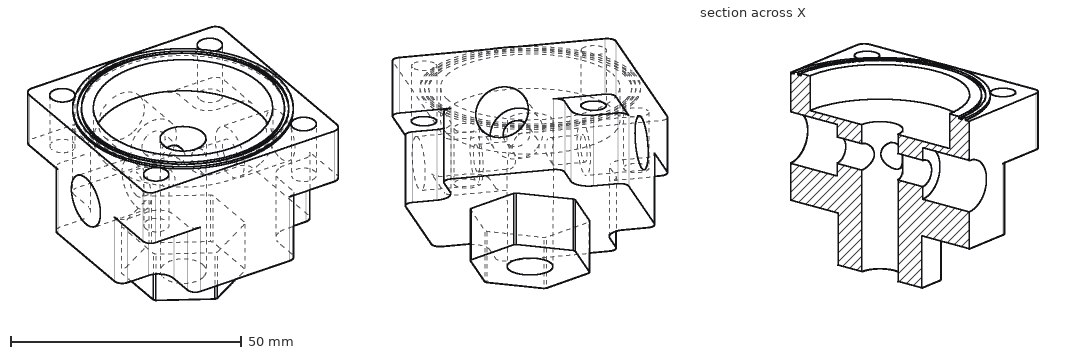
import cadquery as cq
import math

body_width = 50
plate_top = 41.5
body_bottom = 12
corner_radius = 2

relief_top = 28.5
relief_wall = 13.5
relief_inner_radius = 4

hex_across_flats = 23.5
hex_turned_diameter = 26.8

rim_height = 0.5
rim_diameter = 48
groove_outer_diameter = 46
groove_inner_diameter = 44.2
groove_depth = 0.5
cavity_diameter = 39
cavity_depth = 8
bore_diameter = 10

mount_hole_diameter = 5.5
mount_hole_pitch = 38

port_height = 26.5
port_diameter = 11.8
port_depth = 13
passage_diameter = 6

half_width = body_width / 2
rim_top = plate_top + rim_height


def cylinder(diameter, bottom, top):
    """Vertical cylinder on the central axis."""
    return cq.Workplane("XY", origin=(0, 0, bottom)).circle(diameter / 2).extrude(top - bottom)


def square_block(bottom, top):
    """Full-width block with rounded vertical edges."""
    return (
        cq.Workplane("XY", origin=(0, 0, bottom))
        .rect(body_width, body_width)
        .extrude(top - bottom)
        .edges("|Z")
        .fillet(corner_radius)
    )


def cross_block(bottom, top):
    """Plus-shaped block whose outer and inner vertical edges are rounded."""
    arm_width = 2 * relief_wall
    height = top - bottom
    plane = cq.Workplane("XY", origin=(0, 0, bottom))
    arm_along_x = plane.rect(body_width, arm_width).extrude(height)
    arm_along_y = plane.rect(arm_width, body_width).extrude(height)
    cross = arm_along_x.union(arm_along_y)
    inner_box = cq.selectors.BoxSelector(
        (-relief_wall - 0.5, -relief_wall - 0.5, bottom - 0.5),
        (relief_wall + 0.5, relief_wall + 0.5, top + 0.5),
    )
    cross = cross.edges("|Z").edges(inner_box).fillet(relief_inner_radius)
    for axis in ("X", "Y"):
        cross = cross.faces(f"<{axis} or >{axis}").edges("|Z").fillet(corner_radius)
    return cross


def hex_foot():
    """Hexagon with flats facing Y and slightly turned-down corners."""
    across_corners = hex_across_flats / math.cos(math.radians(30))
    hexagon = cq.Workplane("XY").polygon(6, across_corners).extrude(body_bottom)
    return hexagon.intersect(cylinder(hex_turned_diameter, 0, body_bottom))


def seal_groove():
    """Ring-shaped groove cut into the raised rim."""
    bottom = rim_top - groove_depth
    outer = cylinder(groove_outer_diameter, bottom, rim_top)
    return outer.cut(cylinder(groove_inner_diameter, bottom, rim_top))


def port(angle):
    """Side port on the -X face turned about Z: a socket and a narrower passage to the centre."""
    entry = cq.Workplane("YZ", origin=(-half_width, 0, port_height))
    socket = entry.circle(port_diameter / 2).extrude(port_depth)
    passage = entry.circle(passage_diameter / 2).extrude(half_width)
    return socket.union(passage).rotate((0, 0, 0), (0, 0, 1), angle)


result = square_block(relief_top, plate_top)
result = result.union(cross_block(body_bottom, relief_top))
result = result.union(hex_foot())
result = result.union(cylinder(rim_diameter, plate_top, rim_top))

result = result.cut(seal_groove())
result = result.cut(cylinder(cavity_diameter, rim_top - cavity_depth, rim_top))
result = result.cut(cylinder(bore_diameter, 0, rim_top))

mount_holes = (
    cq.Workplane("XY", origin=(0, 0, body_bottom))
    .rect(mount_hole_pitch, mount_hole_pitch, forConstruction=True)
    .vertices()
    .circle(mount_hole_diameter / 2)
    .extrude(plate_top - body_bottom)
)
result = result.cut(mount_holes)

for port_angle in (0, 90, -90):
    result = result.cut(port(port_angle))